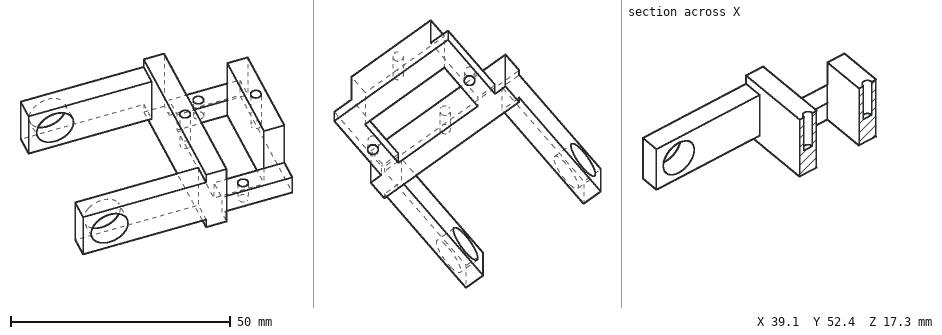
import cadquery as cq

width = 39.1
depth = 52.4
height = 17.3
wall = 5.0

arm_length = 30.1
arm_height = 12.3
arm_hole_diameter = 9.0
arm_hole_from_tip = 6.5

frame_width = 33.0
rail_hole_from_plate = 6.2

pin_diameter = 2.4
blind_depth = 10.0

plate_back = arm_length + wall
frame_inner_width = frame_width - 2 * wall
rail_length = depth - plate_back
mid_height = height / 2


def block(size_x, size_y, size_z, center_x, front_y, bottom_z):
    """Box centred on center_x, growing in +Y from front_y and in +Z from bottom_z."""
    box = cq.Workplane("XY").box(size_x, size_y, size_z, centered=(True, False, False))
    return box.translate((center_x, front_y, bottom_z))


def vertical_pin(center_x, center_y, top_z, pin_depth):
    """Cutter for a small hole going down from top_z."""
    pin = cq.Workplane("XY").circle(pin_diameter / 2).extrude(-pin_depth)
    return pin.translate((center_x, center_y, top_z))


def solid_body():
    """Cross plate, arms, rails and rear post."""
    body = block(width, wall, height, 0, arm_length, 0)
    for side in (-1, 1):
        arm_x = side * (width - wall) / 2
        rail_x = side * (frame_width - wall) / 2
        body = body.union(block(wall, arm_length, arm_height, arm_x, 0, mid_height - arm_height / 2))
        body = body.union(block(wall, rail_length, wall, rail_x, plate_back, 0))
    return body.union(block(frame_inner_width, wall, height, 0, depth - wall, 0))


def cut_holes(body):
    """Cross hole through both arms, through holes in the rails, blind holes in plate and post."""
    arm_hole = (
        cq.Workplane("YZ")
        .center(arm_hole_from_tip, mid_height)
        .circle(arm_hole_diameter / 2)
        .extrude(width / 2, both=True)
    )
    body = body.cut(arm_hole)
    for side in (-1, 1):
        rail_x = side * (frame_width - wall) / 2
        body = body.cut(vertical_pin(rail_x, plate_back + rail_hole_from_plate, wall, wall))
    for wall_y in (arm_length + wall / 2, depth - wall / 2):
        body = body.cut(vertical_pin(0, wall_y, height, blind_depth))
    return body


result = cut_holes(solid_body())